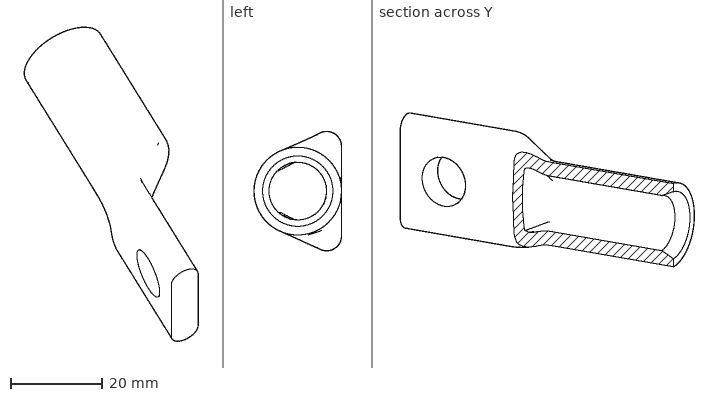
import cadquery as cq
import math

total_length = 71.37
barrel_diameter = 19.2
palm_height = 26.16
palm_thickness = 6.6
barrel_length = 31.7
transition_length = 12.7
entry_diameter = 15.4
entry_depth = 3.0
bolt_hole_diameter = 11.1
bolt_hole_to_end = 11.2

wall = palm_thickness / 2
barrel_radius = barrel_diameter / 2
bore_radius = barrel_radius - wall
palm_start = barrel_length + transition_length
palm_length = total_length - palm_start
palm_center_y = wall - barrel_radius
palm_flat_half_height = palm_height / 2 - wall

cavity_end_half_thickness = 0.02

upper_front_angle = 31
lower_front_angle = 52
back_angle = 138

ease_share = 0.25
section_count = 13


def flattening(position):
    """Share of the flattening reached at a position from 0 to 1 along the transition."""
    if position > 0.5:
        return 1 - flattening(1 - position)
    slope = 1 / (1 - ease_share)
    if position < ease_share:
        return slope * position**2 / (2 * ease_share)
    return slope * (position - ease_share / 2)


def circle_points(radius):
    """Corner and mid-edge points (y, z) of the round section, front middle first."""
    corners = [upper_front_angle, back_angle, 360 - back_angle, 360 - lower_front_angle]
    front_middle = (upper_front_angle - lower_front_angle) / 2
    middles = [front_middle, 90, 180, 270]
    angles = [angle for pair in zip(middles, corners) for angle in pair]
    return [(-radius * math.cos(math.radians(a)), radius * math.sin(math.radians(a))) for a in angles]


def slot_points(half_thickness):
    """Corner and mid-edge points (y, z) of the flat section, in the same order."""
    front = palm_center_y - half_thickness
    back = palm_center_y + half_thickness
    flat = palm_flat_half_height
    tip = flat + half_thickness
    return [
        (front, 0),
        (front, flat),
        (palm_center_y, tip),
        (back, flat),
        (back, 0),
        (back, -flat),
        (palm_center_y, -tip),
        (front, -flat),
    ]


def section_wire(position, radius, half_thickness):
    """Closed section, part way between the round and the flat one."""
    share = flattening(position)
    x = barrel_length + position * transition_length
    points = [
        cq.Vector(x, y0 + share * (y1 - y0), z0 + share * (z1 - z0))
        for (y0, z0), (y1, z1) in zip(circle_points(radius), slot_points(half_thickness))
    ]
    edges = []
    for middle in range(0, len(points), 2):
        start = points[middle - 1]
        end = points[middle + 1]
        is_flat = position == 1 and points[middle].z == 0
        if is_flat:
            edges.append(cq.Edge.makeLine(start, end))
        else:
            edges.append(cq.Edge.makeThreePointArc(start, points[middle], end))
    return cq.Wire.assembleEdges(edges)


def flattened_loft(radius, half_thickness):
    """Smooth body from a round section at the barrel to a flat one at the palm."""
    positions = [index / (section_count - 1) for index in range(section_count)]
    wires = [section_wire(position, radius, half_thickness) for position in positions]
    return cq.Workplane(cq.Solid.makeLoft(wires))


def make_barrel():
    return cq.Workplane("YZ").circle(barrel_radius).extrude(barrel_length)


def make_palm():
    return (
        cq.Workplane("YZ", origin=(palm_start, palm_center_y, 0))
        .slot2D(palm_height, palm_thickness, 90)
        .extrude(palm_length)
    )


def make_cavity():
    """Tapered wire entry, straight bore and the flattened end of the bore."""
    bore = cq.Workplane("YZ").circle(bore_radius).extrude(barrel_length)
    entry = cq.Workplane(cq.Solid.makeCone(
        entry_diameter / 2, bore_radius, entry_depth, cq.Vector(0, 0, 0), cq.Vector(1, 0, 0)
    ))
    return bore.union(entry).union(flattened_loft(bore_radius, cavity_end_half_thickness))


def make_bolt_hole():
    return (
        cq.Workplane("XZ", origin=(total_length - bolt_hole_to_end, 0, 0))
        .circle(bolt_hole_diameter / 2)
        .extrude(barrel_radius, both=True)
    )


outer = make_barrel().union(flattened_loft(barrel_radius, wall)).union(make_palm())
result = outer.cut(make_cavity()).cut(make_bolt_hole())